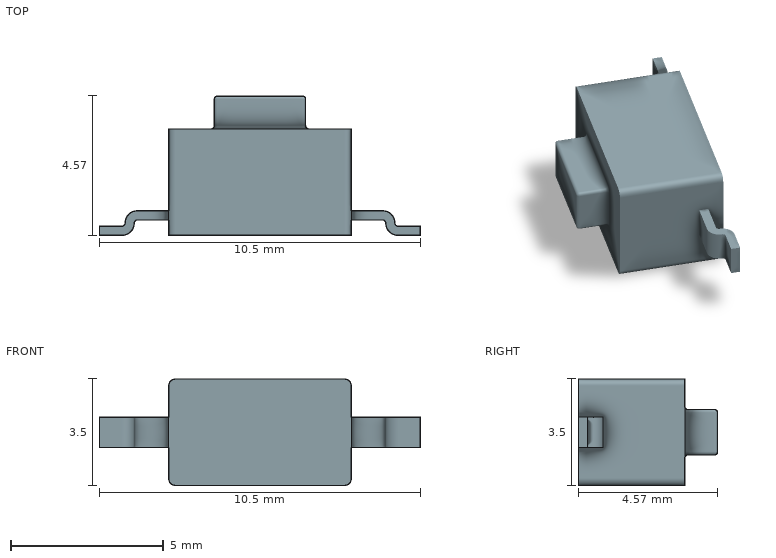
import cadquery as cq

body_length = 6.0
body_size = 3.5
body_corner_radius = 0.22

total_depth = 4.57
button_length = 3.0
button_height = 1.5
button_edge_radius = 0.1
button_base_radius = 0.1

total_length = 10.54
lead_thickness = 0.31
lead_width = 1.0
bend_inner_radius = 0.1
bend_outer_radius = bend_inner_radius + lead_thickness
foot_length = 0.74


def block(length, height, front, back):
    """Box centred in X and Z, running from front to back along Y."""
    return cq.Workplane("XY").box(length, back - front, height).translate((0, (front + back) / 2, 0))


def make_body():
    body = block(body_length, body_size, 0, body_size)
    return body.edges("|Y").fillet(body_corner_radius)


def add_button(body):
    button = block(button_length, button_height, body_size, total_depth)
    button = button.edges("|Y").fillet(button_edge_radius)
    button = button.faces(">Y").edges().fillet(button_edge_radius)
    joined = body.union(button)
    margin = button_edge_radius / 2
    base_edges = cq.selectors.BoxSelector(
        (-button_length / 2 - margin, body_size - margin, -button_height / 2 - margin),
        (button_length / 2 + margin, body_size + margin, button_height / 2 + margin),
    )
    return joined.edges("not |Y").edges(base_edges).fillet(button_base_radius)


def make_left_lead():
    tip_x = -total_length / 2
    body_x = -body_length / 2
    bend_x = tip_x + foot_length
    riser_left = bend_x + bend_inner_radius
    riser_right = bend_x + bend_outer_radius
    upper_bend_x = riser_right + bend_inner_radius
    foot_top = lead_thickness
    lead_bottom = bend_outer_radius + bend_inner_radius
    lead_top = lead_bottom + lead_thickness
    return (
        cq.Workplane("XY", origin=(0, 0, -lead_width / 2))
        .moveTo(tip_x, 0)
        .lineTo(bend_x, 0)
        .radiusArc((riser_right, bend_outer_radius), -bend_outer_radius)
        .radiusArc((upper_bend_x, lead_bottom), bend_inner_radius)
        .lineTo(body_x, lead_bottom)
        .lineTo(body_x, lead_top)
        .lineTo(upper_bend_x, lead_top)
        .radiusArc((riser_left, bend_outer_radius), -bend_outer_radius)
        .radiusArc((bend_x, foot_top), bend_inner_radius)
        .lineTo(tip_x, foot_top)
        .close()
        .extrude(lead_width)
    )


left_lead = make_left_lead()
right_lead = left_lead.mirror("YZ")
result = add_button(make_body()).union(left_lead).union(right_lead)